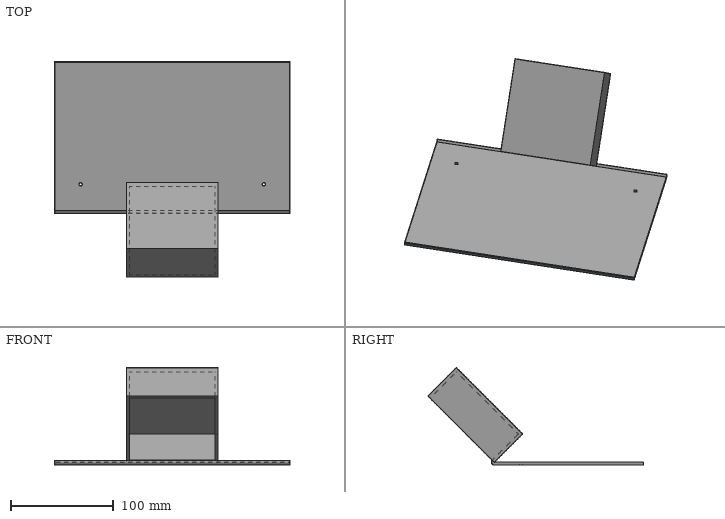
import cadquery as cq
import math

plate_width = 228.5
plate_thickness = 3.2
total_depth = 209.6
fold_radius = 2.7
back_chamfer = 0.7

box_width = 89.2
box_length = 91.2
box_depth = 39.0
box_wall = 3.0
box_tilt = 45.0

hole_diameter = 3.0
hole_spacing = 178.3
hole_from_back = 119.3

tilt = math.radians(box_tilt)
back_y = total_depth - box_length * math.cos(tilt)


def make_folded_plate():
    """Flat plate whose rounded front edge ends in a 45 degree lip face behind a shallow V groove."""
    groove_depth = plate_thickness - fold_radius
    lip_tip = (-fold_radius * math.cos(tilt), fold_radius * (1 + math.sin(tilt)))
    profile = (
        cq.Workplane("YZ", origin=(-plate_width / 2, 0, 0))
        .moveTo(back_y, 0)
        .lineTo(0, 0)
        .threePointArc((-fold_radius, fold_radius), lip_tip)
        .lineTo(0, fold_radius)
        .lineTo(groove_depth / math.tan(tilt), plate_thickness)
        .lineTo(back_y - back_chamfer, plate_thickness)
        .lineTo(back_y, plate_thickness - back_chamfer)
        .close()
    )
    return profile.extrude(plate_width)


def make_box():
    """Tilted box, open on the face that looks forward and down."""
    outside = cq.Workplane("XY").box(box_width, box_length, box_depth, centered=(True, False, False))
    cavity = cq.Workplane("XY").box(
        box_width - 2 * box_wall, box_length - 2 * box_wall, box_depth - box_wall, centered=(True, False, False)
    ).translate((0, box_wall, 0))
    box = outside.cut(cavity).rotate((0, 0, 0), (0, 0, 1), 180)
    box = box.rotate((0, 0, 0), (1, 0, 0), -box_tilt)
    return box.translate((0, 0, fold_radius))


def make_screw_holes():
    """Pair of cutters passing through the plate."""
    hole_y = back_y - hole_from_back
    places = [(-hole_spacing / 2, hole_y), (hole_spacing / 2, hole_y)]
    return cq.Workplane("XY").pushPoints(places).circle(hole_diameter / 2).extrude(plate_thickness)


result = make_folded_plate().cut(make_screw_holes()).union(make_box())